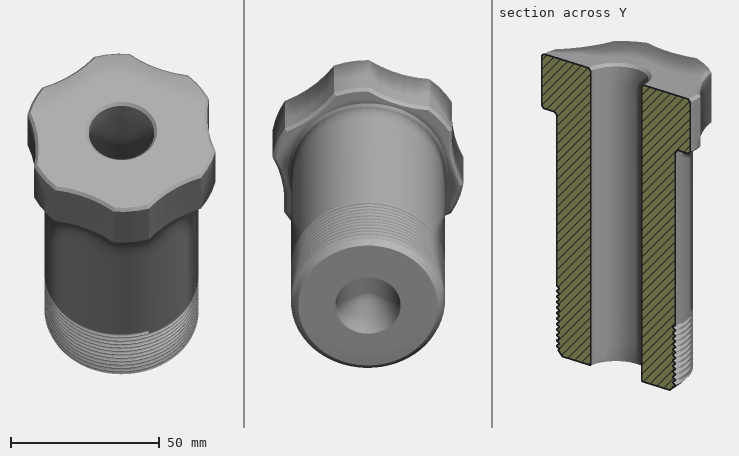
import cadquery as cq
import math

total_height = 108.0
head_height = 20.0
head_radius = 32.5
body_radius = 25.9
bore_radius = 11.0

lobe_count = 6
lobe_half_angle = 10.6
scallop_floor_radius = 29.2
edge_chamfer = 1.0

lead_chamfer = 2.5
thread_pitch = 2.0
thread_depth = 1.2
groove_width = 1.8
groove_overrun = 0.1
groove_end_height = 25.1
groove_end_angle = -45.0
groove_turns = 12

head_bottom = total_height - head_height
lobe_spacing = 360.0 / lobe_count


def polar(radius, degrees):
    angle = math.radians(degrees)
    return radius * math.cos(angle), radius * math.sin(angle)


def make_head():
    """Six round lobes alternating with shallow concave scallops."""
    outline = cq.Workplane("XY").workplane(offset=head_bottom)
    outline = outline.moveTo(*polar(head_radius, -lobe_half_angle))
    for lobe in range(lobe_count):
        middle = lobe * lobe_spacing
        next_start = middle + lobe_spacing - lobe_half_angle
        outline = outline.threePointArc(
            polar(head_radius, middle), polar(head_radius, middle + lobe_half_angle)
        )
        outline = outline.threePointArc(
            polar(scallop_floor_radius, middle + lobe_spacing / 2), polar(head_radius, next_start)
        )
    return outline.close().extrude(head_height).faces("|Z").chamfer(edge_chamfer)


def make_body():
    """Round shank with a lead-in chamfer and a sloped collar under the head."""
    body = cq.Workplane("XY").circle(body_radius).extrude(head_bottom + edge_chamfer)
    body = body.faces("<Z").edges().chamfer(lead_chamfer)
    collar = (
        cq.Workplane("XY")
        .workplane(offset=head_bottom - edge_chamfer)
        .circle(body_radius)
        .workplane(offset=edge_chamfer)
        .circle(body_radius + edge_chamfer)
        .loft()
    )
    return body.union(collar)


def make_thread_groove():
    """Right-handed V groove that starts in the lead chamfer and stops abruptly."""
    groove_length = groove_turns * thread_pitch
    outer_radius = body_radius + groove_overrun
    path = cq.Wire.makeHelix(thread_pitch, groove_length, body_radius)
    groove = (
        cq.Workplane("XZ")
        .moveTo(outer_radius, -groove_width / 2)
        .lineTo(body_radius - thread_depth, 0)
        .lineTo(outer_radius, groove_width / 2)
        .close()
        .sweep(cq.Workplane(obj=path), isFrenet=True)
    )
    groove = groove.rotate((0, 0, 0), (0, 0, 1), groove_end_angle)
    return groove.translate((0, 0, groove_end_height - groove_length))


def make_bore():
    """Through bore with a chamfered mouth in the head."""
    bore = cq.Workplane("XY").circle(bore_radius).extrude(total_height)
    mouth = (
        cq.Workplane("XY")
        .workplane(offset=total_height - edge_chamfer)
        .circle(bore_radius)
        .workplane(offset=edge_chamfer)
        .circle(bore_radius + edge_chamfer)
        .loft()
    )
    return bore.union(mouth)


threaded_body = make_body().cut(make_thread_groove())
result = threaded_body.union(make_head()).cut(make_bore())